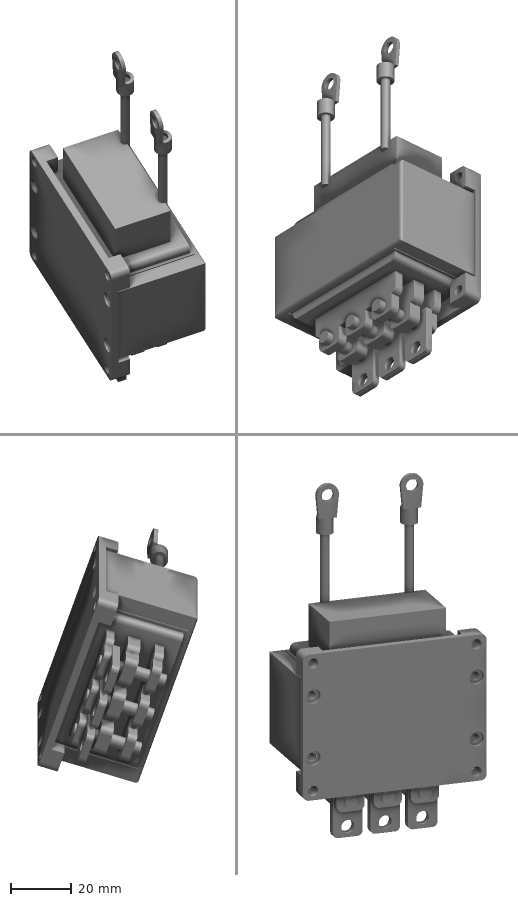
import cadquery as cq
import math


plate_width = 65.0
plate_height = 51.3
plate_bottom = 17.8
plate_depth = 6.8
plate_floor = 2.5
plate_corner_radius = 2.2
channel_width = 49.4
plate_hole_diameter = 3.6
plate_hole_x = 29.0
plate_hole_dz = 22.4
screw_dz = 10.9
screw_head_diameter = 5.1
screw_head_depth = 1.4
screw_diameter = 3.0
mid_z = plate_bottom + plate_height / 2

yoke_width = 63.9
yoke_height = 32.0
yoke_back = 35.0
yoke_back_wall = 1.8
yoke_opening = 53.7
yoke_edge_radius = 1.1
yoke_slot_clearance = 1.1
tapped_diameter = 2.5
tapped_depth = 6.0
drill_tip_angle = 118

coil_width = 51.0
coil_height = 38.1
coil_back = 32.0
coil_edge_radius = 2.0
bobbin_width = 53.0
bobbin_back = yoke_back - yoke_back_wall
block_width = 41.4
block_back = 27.0
block_top = 77.4

comb_spans = [(plate_depth, 9.7), (14.4, 18.8), (23.8, block_back)]
comb_width = 40.1
comb_bottom = 16.4
comb_corner_radius = 2.5
lug_count = 3
lug_pitch = 13.2
lug_width = 9.9
lug_bottom = 9.9
lug_corner_radius = 2.2
pin_diameter = 4.4
pin_front = 6.1
pin_back = 29.5
pin_z = 13.2

terminal_pitch = 13.3
terminal_width = 10.5
terminal_front = 9.3
terminal_thickness = 2.6
terminal_bottom = 0.1
terminal_top = 17.2
terminal_corner_radius = 1.8
terminal_hole_diameter = 4.5
terminal_hole_z = 3.8
strip_thickness = 0.7
strip_top = 15.8
strip_inset = 0.1
strip_hole_diameter = 5.0

lead_x = 15.0
lead_y = 26.9
wire_diameter = 3.2
wire_bottom = 74.5
wire_top_recess = 1.2
barrel_diameter = 6.0
barrel_bottom = 101.8
barrel_top = 107.5
bore_diameter = 3.6
eye_diameter = 7.9
eye_hole_diameter = 4.3
tongue_thickness = 1.4
tongue_base_width = 6.3
gusset_run = 1.0
gusset_rise = 0.6
lead_top = 119.6


def box(width, y_front, y_back, z_bottom, z_top):
    """Box centred on X = 0."""
    size = (width, y_back - y_front, z_top - z_bottom)
    return cq.Workplane().box(*size, centered=(True, False, False)).translate((0, y_front, z_bottom))


def rod(diameter, x, z, y_front, y_back):
    """Cylinder along Y."""
    start = cq.Vector(x, y_front, z)
    return cq.Workplane(cq.Solid.makeCylinder(diameter / 2, y_back - y_front, start, cq.Vector(0, 1, 0)))


def post(diameter, x, y, z_bottom, z_top):
    """Cylinder along Z."""
    return cq.Workplane(cq.Solid.makeCylinder(diameter / 2, z_top - z_bottom, cq.Vector(x, y, z_bottom)))


def row(pitch):
    """X places of the lugs or terminals, centred on X = 0."""
    return [pitch * (i - (lug_count - 1) / 2) for i in range(lug_count)]


def corner_places(dz):
    """X and Z places of four holes, symmetric about the middle of the plate."""
    return [(x, mid_z + z) for x in (-plate_hole_x, plate_hole_x) for z in (-dz, dz)]


def centred_box(width, height, y_front, y_back):
    """Box centred on X = 0 and on the plate's middle height."""
    return box(width, y_front, y_back, mid_z - height / 2, mid_z + height / 2)


def make_plate():
    plate = centred_box(plate_width, plate_height, 0, plate_depth).edges("|Y").fillet(plate_corner_radius)
    plate = plate.cut(centred_box(channel_width, plate_height, plate_floor, plate_depth))
    plate = plate.cut(centred_box(coil_width, coil_height, plate_floor, plate_depth))
    slot_height = yoke_height + 2 * yoke_slot_clearance
    plate = plate.cut(centred_box(plate_width, slot_height, plate_floor, plate_depth))
    for x, z in corner_places(plate_hole_dz):
        plate = plate.cut(rod(plate_hole_diameter, x, z, 0, plate_depth))
    for x, z in corner_places(screw_dz):
        plate = plate.cut(rod(screw_head_diameter, x, z, 0, screw_head_depth))
        plate = plate.cut(rod(screw_diameter, x, z, 0, plate_floor))
    return plate


def drilled_hole(x, z):
    """Blind hole with a conical drill tip, entering the yoke from the plate's floor."""
    radius = tapped_diameter / 2
    tip = radius / math.tan(math.radians(drill_tip_angle / 2))
    tip_start = cq.Vector(x, plate_floor + tapped_depth, z)
    cone = cq.Solid.makeCone(radius, 0, tip, tip_start, cq.Vector(0, 1, 0))
    return rod(tapped_diameter, x, z, plate_floor, plate_floor + tapped_depth).union(cq.Workplane(cone))


def make_yoke():
    yoke = centred_box(yoke_width, yoke_height, plate_floor, yoke_back)
    yoke = yoke.faces(">Y").edges().fillet(yoke_edge_radius)
    yoke = yoke.cut(centred_box(yoke_opening, yoke_height, plate_floor, bobbin_back))
    for x, z in corner_places(screw_dz):
        yoke = yoke.cut(drilled_hole(x, z))
    return yoke


def make_comb(y_front, y_back):
    bar = box(comb_width, y_front, y_back, comb_bottom, mid_z - coil_height / 2)
    comb = bar.edges("|Y and <Z").fillet(comb_corner_radius)
    lug = box(lug_width, y_front, y_back, lug_bottom, comb_bottom).edges("|Y and <Z").fillet(lug_corner_radius)
    for x in row(lug_pitch):
        comb = comb.union(lug.translate((x, 0, 0)))
    return comb


def make_terminal(x):
    """Tab slotted midway through its thickness, with a thin strip in the slot."""
    back = terminal_front + terminal_thickness
    strip_front = terminal_front + (terminal_thickness - strip_thickness) / 2
    strip_back = strip_front + strip_thickness
    tab = box(terminal_width, terminal_front, back, terminal_bottom, terminal_top)
    tab = tab.edges("|Y and <Z").fillet(terminal_corner_radius)
    tab = tab.cut(box(terminal_width, strip_front, strip_back, 0, strip_top))
    tab = tab.cut(rod(terminal_hole_diameter, 0, terminal_hole_z, terminal_front, back))
    strip = box(terminal_width - 2 * strip_inset, strip_front, strip_back, 0, strip_top)
    strip = strip.edges("|Y and <Z").fillet(terminal_corner_radius)
    strip = strip.cut(rod(strip_hole_diameter, 0, terminal_hole_z, strip_front, strip_back))
    return tab.union(strip).translate((x, 0, 0))


def make_coil():
    """Coil on its bobbin, with the combs, pins and terminals fixed to it."""
    coil = centred_box(coil_width, coil_height, plate_floor, coil_back).edges("|Y").fillet(coil_edge_radius)
    coil = coil.union(centred_box(bobbin_width, yoke_height, plate_floor, bobbin_back))
    for y_front, y_back in comb_spans:
        coil = coil.union(make_comb(y_front, y_back))
    for x in row(terminal_pitch):
        coil = coil.union(make_terminal(x))
    for x in row(lug_pitch):
        coil = coil.union(rod(pin_diameter, x, pin_z, pin_front, pin_back))
    return coil


def make_block():
    """Outlet block on top of the coil, with a half-open hole for each wire in its back face."""
    block = box(block_width, plate_depth, block_back, mid_z + coil_height / 2, block_top)
    for x in (-lead_x, lead_x):
        block = block.cut(make_wire(x))
    return block


def make_wire(x):
    return post(wire_diameter, x, lead_y, wire_bottom, barrel_top - wire_top_recess)


def make_tongue(x, y_front, y_back):
    """Flat tongue, tapering down from its round eye to the barrel."""
    eye_radius = eye_diameter / 2
    eye_z = lead_top - eye_radius
    tongue = (
        cq.Workplane("XZ", origin=(x, y_back, 0))
        .moveTo(-tongue_base_width / 2, barrel_top)
        .lineTo(tongue_base_width / 2, barrel_top)
        .lineTo(eye_radius, eye_z)
        .threePointArc((0, lead_top), (-eye_radius, eye_z))
        .close()
        .extrude(y_back - y_front)
    )
    return tongue.cut(rod(eye_hole_diameter, x, eye_z, y_front, y_back))


def make_ring_lug(x):
    """Bored barrel and tongue, with a sloped gusset behind the foot of the tongue."""
    front = lead_y - barrel_diameter / 2
    tongue_back = front + tongue_thickness
    gusset = (
        cq.Workplane("YZ", origin=(x - barrel_diameter / 2, 0, 0))
        .moveTo(tongue_back, barrel_top)
        .lineTo(tongue_back + gusset_run, barrel_top)
        .lineTo(tongue_back, barrel_top + gusset_rise)
        .close()
        .extrude(barrel_diameter)
        .intersect(post(barrel_diameter, x, lead_y, barrel_top, lead_top))
    )
    barrel = post(barrel_diameter, x, lead_y, barrel_bottom, barrel_top).union(gusset)
    barrel = barrel.cut(post(bore_diameter, x, lead_y, barrel_bottom, lead_top))
    return barrel.union(make_tongue(x, front, tongue_back))


plate = make_plate()
yoke = make_yoke()
coil = make_coil()
block = make_block()
wires = [make_wire(x).val() for x in (-lead_x, lead_x)]
ring_lugs = [make_ring_lug(x).val() for x in (-lead_x, lead_x)]

result = cq.Compound.makeCompound([plate.val(), yoke.val(), coil.val(), block.val(), *wires, *ring_lugs])